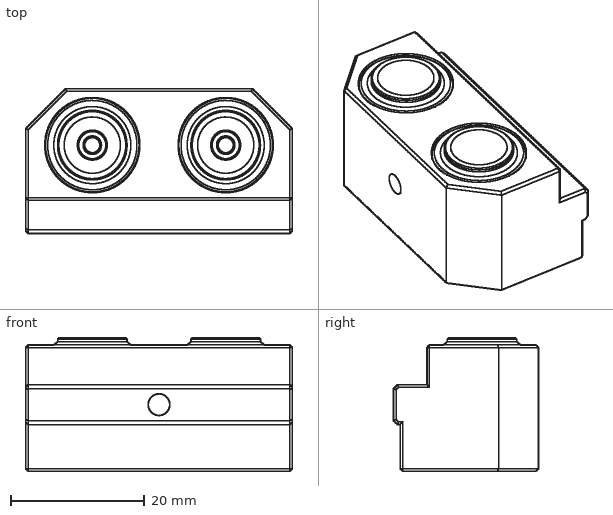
import cadquery as cq

LENGTH = 40.0
BLOCK_HEIGHT = 18.95
TOTAL_HEIGHT = 20.0
BACK_Y = 8.5
UPPER_DEPTH = 16.75
LOWER_DEPTH = 20.75
RAIL_DEPTH = 21.75
RAIL_CENTER_Z = TOTAL_HEIGHT / 2
RAIL_HEIGHT = 6.0
CORNER_CUT = 6.0
EDGE_CHAMFER = 0.4
RAIL_CHAMFER = 0.6
CROSS_HOLE_DIAMETER = 3.2

BUSHING_SPACING = 20.0
BUSHING_CENTERS = [(-BUSHING_SPACING / 2, 0), (BUSHING_SPACING / 2, 0)]
BUSHING_DIAMETER = 14.05
BUSHING_DEPTH = 10.0
BUSHING_CHAMFER = 0.3
BORE_DIAMETER = 8.45
NOSE_DIAMETER = 10.45
NOSE_CHAMFER = 0.2
NOSE_BASE_DIAMETER = 11.55
NOSE_CONE_HEIGHT = 0.5

MOUTH_DIAMETER = 14.3
MOUTH_DEPTH = 1.2

SEAT_Z = BLOCK_HEIGHT - BUSHING_DEPTH
RECESS_TOP_DIAMETER = 4.5
RECESS_FLOOR_DIAMETER = 4.1
RECESS_DEPTH = 2.0
DRAIN_DIAMETER = 2.3
DRAIN_CHAMFER = 0.25


def stepped_body():
    """Stepped Y-Z section along X, with the two back corners cut at 45 degrees."""
    rail_bottom = RAIL_CENTER_Z - RAIL_HEIGHT / 2
    rail_top = RAIL_CENTER_Z + RAIL_HEIGHT / 2
    section = [
        (BACK_Y, 0),
        (BACK_Y - LOWER_DEPTH, 0),
        (BACK_Y - LOWER_DEPTH, rail_bottom),
        (BACK_Y - RAIL_DEPTH, rail_bottom),
        (BACK_Y - RAIL_DEPTH, rail_top),
        (BACK_Y - UPPER_DEPTH, rail_top),
        (BACK_Y - UPPER_DEPTH, BLOCK_HEIGHT),
        (BACK_Y, BLOCK_HEIGHT),
    ]
    body = cq.Workplane("YZ").polyline(section).close().extrude(LENGTH / 2, both=True)
    return body.edges("|Z and >Y").chamfer(CORNER_CUT)


def chamfered_body():
    """Break the edges of the rail, the end faces, the top and the underside."""
    body = stepped_body().faces("<Y").edges("|X").chamfer(RAIL_CHAMFER)
    ends = body.faces("<X or >X").edges()
    back_corner_y = BACK_Y - CORNER_CUT
    broken = ends.filter(lambda edge: edge.Center().y < back_corner_y - EDGE_CHAMFER)
    broken = broken.add(body.faces("<Z or >Z").edges())
    return broken.chamfer(EDGE_CHAMFER)


def bushing_pocket():
    """Space removed at each bushing: seat with a tapered mouth, recess and drain."""
    recess_z = SEAT_Z - RECESS_DEPTH
    drain_radius = DRAIN_DIAMETER / 2
    outline = [
        (0, 0),
        (drain_radius, 0),
        (drain_radius, recess_z - DRAIN_CHAMFER),
        (drain_radius + DRAIN_CHAMFER, recess_z),
        (RECESS_FLOOR_DIAMETER / 2, recess_z),
        (RECESS_TOP_DIAMETER / 2, SEAT_Z),
        (BUSHING_DIAMETER / 2, SEAT_Z),
        (BUSHING_DIAMETER / 2, BLOCK_HEIGHT - MOUTH_DEPTH),
        (MOUTH_DIAMETER / 2, BLOCK_HEIGHT),
        (0, BLOCK_HEIGHT),
    ]
    return cq.Workplane("XZ").polyline(outline).close().revolve(360, (0, 0), (0, 1))


def make_block():
    block = chamfered_body()
    cross_hole = (
        cq.Workplane("XZ")
        .center(0, RAIL_CENTER_Z)
        .circle(CROSS_HOLE_DIAMETER / 2)
        .extrude(RAIL_DEPTH, both=True)
    )
    block = block.cut(cross_hole)
    for x, y in BUSHING_CENTERS:
        block = block.cut(bushing_pocket().translate((x, y, 0)))
    return block


def make_bushing():
    """Chamfered sleeve with a raised nose that has a conical base."""
    bore_radius = BORE_DIAMETER / 2
    outer_radius = BUSHING_DIAMETER / 2
    nose_radius = NOSE_DIAMETER / 2
    outline = [
        (bore_radius, SEAT_Z),
        (outer_radius, SEAT_Z),
        (outer_radius, BLOCK_HEIGHT - BUSHING_CHAMFER),
        (outer_radius - BUSHING_CHAMFER, BLOCK_HEIGHT),
        (NOSE_BASE_DIAMETER / 2, BLOCK_HEIGHT),
        (nose_radius, BLOCK_HEIGHT + NOSE_CONE_HEIGHT),
        (nose_radius, TOTAL_HEIGHT - NOSE_CHAMFER),
        (nose_radius - NOSE_CHAMFER, TOTAL_HEIGHT),
        (bore_radius, TOTAL_HEIGHT),
    ]
    return cq.Workplane("XZ").polyline(outline).close().revolve(360, (0, 0), (0, 1))


block = make_block()
bushings = [make_bushing().translate((x, y, 0)) for x, y in BUSHING_CENTERS]

result = cq.Compound.makeCompound(
    [block.val(), *[bushing.val() for bushing in bushings]]
)